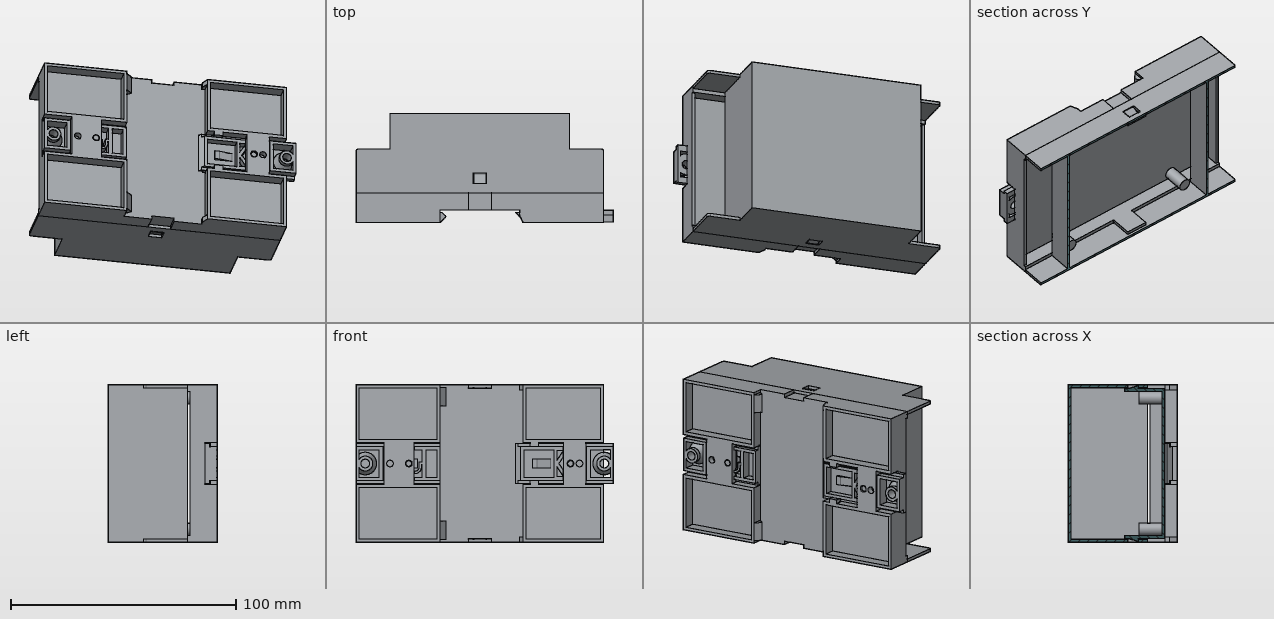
import cadquery as cq


length = 110.0
width = 70.0
front_y = 48.6
mid_x = length / 2
mid_z = width / 2
wall = 1.4

seam_y = 13.3
shoulder_y = 32.8
shoulder_length = 15.1
shoulder_radius = 1.1
window_length = 6.1
window_y = (17.4, 22.1)

side_wall = 3.1
end_wall_y = 12.2
rail_x = (37.4, 74.1)
rail_depth = 5.6
pocket_depth = rail_depth
pocket_width = 22.9
rim = 1.4
inner_floor_y = pocket_depth + wall
post_radius = 2.7
post_inset_x = 22.9
post_inset_z = 5.8
post_top_y = 17.1

tab_length = 10.2
tab_recess = 1.6
tab_top_y = 23.4
hook_clearance = 0.3

hook_width = 8.2
hook_inset_z = 1.1
hook_reach = 2.6
hook_tip_y = 2.7
hook_back_y = 4.6
hook_back_reach = 0.8
rib_width = 2.3
rib_reach = 1.5
rib_shoulder_y = 3.5

channel_width = 18.5
bridge_thickness = 3.2
left_bridge_x = (12.3, 25.8)
right_bridge_x = (92.0, 102.1)
pin_hole_radius = 1.5
left_hole_x = (15.1, 23.4)
right_hole_x = (95.2, 99.2)
lug_x = (77.3, 81.0)
detent_width = 3.9
detent_height = 1.1
left_detent_x = (24.9, 27.2)
right_detent_flat_x = (78.3, 80.4)
right_detent_end_x = 86.4

clip_face_y = 0.2
left_inner_face_y = 1.4
right_inner_face_y = 2.2
flange_y = 3.4
flange_width = 18.0
web_width = 15.1
clip_window_width = 12.2
clip_end_x = 114.3
clip_gap = 0.2
grip_window = (1.4, 10.3)
grip_end = 11.9
boss_offset = 4.1
boss_foot_radius = 5.0
boss_top_radius = 3.3
boss_collar_y = 2.3
boss_hole_radius = 2.0
pin_radius = 1.3
left_pin_y = 0
right_pin_y = 0.8

left_end_window_x = (31.1, 36.0)
left_spring_window_x = (24.8, 29.4)
spring_bend_x = 26.2
spring_bend_z = 33.4
spring_inner_radius = 1.8
spring_thickness = 1.0
spring_top_z = 35.5

right_big_window_x = (74.5, 87.8)
right_spring_window_x = (89.2, 94.9)
right_spring_width = 11.5
nose_tip_x = 70.9
nose_tip_y = 4.6
nose_foot_x = 73.0
chevron_slope = 1.5
chevron_root = 1.4
chevron_apex = 0.9


def box(x, y, z):
    """Box spanning the given (low, high) pairs."""
    size = [high - low for low, high in (x, y, z)]
    return cq.Workplane("XY").box(*size, centered=False).translate((x[0], y[0], z[0]))


def centred(middle, size):
    """The (low, high) pair of a span centred on a point."""
    return (middle - size / 2, middle + size / 2)


def prism(points, z):
    """Outline in X and Y, extruded over a (low, high) span of Z."""
    return cq.Workplane("XY").polyline(points).close().extrude(z[1] - z[0]).translate((0, 0, z[0]))


def round_bar(radius, x, z, y):
    """Round bar along Y over a (low, high) span."""
    return cq.Workplane("XZ").center(x, z).circle(radius).extrude(y[0] - y[1]).translate((0, y[0], 0))


def with_z_mirror(shape):
    """A shape together with its mirror image across the middle of the width."""
    return shape.union(shape.mirror("XY", (0, 0, mid_z)))


def make_cover():
    tower_x = (shoulder_length, length - shoulder_length)
    cover = box(tower_x, (seam_y, front_y), (0, width))
    plate = box((0, length), (seam_y, shoulder_y), (0, wall))
    plate = plate.edges("|Z and >Y").fillet(shoulder_radius)
    cover = cover.union(with_z_mirror(plate))
    cover = cover.cut(
        box(
            (tower_x[0] + wall, tower_x[1] - wall),
            (seam_y, front_y - wall),
            (wall, width - wall),
        )
    )
    return cover.cut(box(centred(mid_x, window_length), window_y, (0, width)))


def add_snap_tabs(base):
    tab_x = centred(mid_x, tab_length)
    base = base.cut(with_z_mirror(box(tab_x, (rail_depth, seam_y), (0, tab_recess))))
    tab = box(tab_x, (inner_floor_y, tab_top_y), (tab_recess, side_wall))
    hook_width_x = window_length - 2 * hook_clearance
    hook = (
        cq.Workplane("YZ")
        .polyline(
            [
                (window_y[0], side_wall),
                (window_y[0], hook_clearance),
                (window_y[1] - hook_clearance, tab_recess),
                (window_y[1] - hook_clearance, side_wall),
            ]
        )
        .close()
        .extrude(hook_width_x)
        .translate((mid_x - hook_width_x / 2, 0, 0))
    )
    return base.union(with_z_mirror(tab.union(hook)))


def add_rail_hooks(base):
    wall_x = rail_x[0]
    hook = prism(
        [
            (wall_x, 0),
            (wall_x + hook_reach, hook_tip_y),
            (wall_x + hook_back_reach, hook_back_y),
            (wall_x, hook_back_y),
        ],
        (hook_inset_z, hook_inset_z + hook_width),
    )
    wall_x = rail_x[1]
    rib = prism(
        [
            (wall_x, 0),
            (wall_x, rail_depth),
            (wall_x - rib_reach, rail_depth),
            (wall_x - rib_reach, rib_shoulder_y),
        ],
        (0, rib_width),
    )
    return base.union(with_z_mirror(hook)).union(with_z_mirror(rib))


def add_clip_seats(base):
    base = base.cut(box((0, length), (0, rail_depth), centred(mid_z, channel_width)))
    for bridge_x, hole_xs in ((left_bridge_x, left_hole_x), (right_bridge_x, right_hole_x)):
        base = base.union(box(bridge_x, (0, bridge_thickness), centred(mid_z, channel_width)))
        for hole_x in hole_xs:
            base = base.cut(round_bar(pin_hole_radius, hole_x, mid_z, (0, bridge_thickness)))
    lug_depth = (channel_width - web_width) / 2
    channel_low_z = mid_z - channel_width / 2
    lug = box(lug_x, (0, bridge_thickness), (channel_low_z, channel_low_z + lug_depth))
    base = base.union(with_z_mirror(lug))
    detent_y = rail_depth - detent_height
    detent_z = centred(mid_z, detent_width)
    left_detent = prism(
        [
            (left_detent_x[0], rail_depth),
            (left_detent_x[1], rail_depth),
            (left_detent_x[1], detent_y),
        ],
        detent_z,
    )
    right_detent = prism(
        [
            (right_detent_flat_x[0], rail_depth),
            (right_detent_flat_x[0], detent_y),
            (right_detent_flat_x[1], detent_y),
            (right_detent_end_x, rail_depth),
        ],
        detent_z,
    )
    return base.union(left_detent).union(right_detent)


def make_base():
    base = box((0, length), (0, seam_y), (0, width))
    base = base.cut(box(rail_x, (0, rail_depth), (0, width)))
    for block_x in ((0, rail_x[0]), (rail_x[1], length)):
        pocket = box(
            (block_x[0] + rim, block_x[1] - rim),
            (0, pocket_depth),
            (rim, rim + pocket_width),
        )
        base = base.cut(with_z_mirror(pocket))
    inside_z = (side_wall, width - side_wall)
    base = base.cut(box((wall, length - wall), (inner_floor_y, seam_y), inside_z))
    base = base.cut(box((0, length), (end_wall_y, seam_y), inside_z))
    for post_x in (post_inset_x, length - post_inset_x):
        post = round_bar(post_radius, post_x, post_inset_z, (inner_floor_y, post_top_y))
        base = base.union(with_z_mirror(post))
    base = add_snap_tabs(base)
    base = add_clip_seats(base)
    return add_rail_hooks(base)


def clip_blank(clip_x):
    """Flanged bar over a (low, high) span of X."""
    web = box(clip_x, (clip_face_y, rail_depth), centred(mid_z, web_width))
    return web.union(box(clip_x, (flange_y, rail_depth), centred(mid_z, flange_width)))


def clip_window(window_x, window_width=clip_window_width):
    return box(window_x, (clip_face_y, rail_depth), centred(mid_z, window_width))


def add_grip(clip, end_x, inward):
    """Open the window at the outer end and stand a cone-footed screw boss against its end wall."""
    clip = clip.cut(clip_window(sorted(end_x + inward * offset for offset in grip_window)))
    boss_x = end_x + inward * boss_offset
    boss = (
        cq.Workplane("XY")
        .polyline(
            [
                (0, clip_face_y),
                (boss_top_radius, clip_face_y),
                (boss_top_radius, boss_collar_y),
                (boss_foot_radius, rail_depth),
                (0, rail_depth),
            ]
        )
        .close()
        .revolve(360, (0, 0), (0, 1))
        .translate((boss_x, 0, mid_z))
    )
    boss_room = clip_window(sorted((end_x, end_x + inward * grip_window[1])))
    clip = clip.union(boss.intersect(boss_room))
    return clip.cut(round_bar(boss_hole_radius, boss_x, mid_z, (clip_face_y, rail_depth)))


def lower_web(clip, web_x, face_y):
    """Cut the web back to a deeper face over a (low, high) span of X."""
    return clip.cut(box(web_x, (0, face_y), centred(mid_z, channel_width)))


def left_spring():
    """Strip hanging from the window's inner end and bending a quarter turn under the bridge."""
    outer_radius = spring_inner_radius + spring_thickness
    spring_y = (clip_face_y, rail_depth)
    bend_z = spring_bend_z
    bend = round_bar(outer_radius, spring_bend_x, bend_z, spring_y).cut(
        round_bar(spring_inner_radius, spring_bend_x, bend_z, spring_y)
    )
    bend = bend.intersect(
        box((spring_bend_x, spring_bend_x + outer_radius), spring_y, (bend_z - outer_radius, bend_z))
    )
    inner_x = spring_bend_x + spring_inner_radius
    upright = box((inner_x, inner_x + spring_thickness), spring_y, (bend_z, spring_top_z))
    top = box((inner_x, left_spring_window_x[1]), spring_y, (spring_top_z - spring_thickness, spring_top_z))
    foot = box(
        (left_spring_window_x[0], spring_bend_x),
        spring_y,
        (bend_z - outer_radius, bend_z - spring_inner_radius),
    )
    return bend.union(upright).union(top).union(foot)


def make_left_clip():
    clip = clip_blank((0, rail_x[0]))
    clip = add_grip(clip, 0, 1)
    clip = clip.cut(clip_window(left_end_window_x))
    clip = clip.cut(clip_window(left_spring_window_x).cut(left_spring()))
    inner_x = left_bridge_x[1] + clip_gap
    clip = lower_web(clip, (grip_end, inner_x), flange_y)
    clip = lower_web(clip, (inner_x, rail_x[0]), left_inner_face_y)
    return clip.union(round_bar(pin_radius, left_hole_x[1], mid_z, (left_pin_y, rail_depth)))


def right_spring():
    """Chevron strip, pointing at the rail, joined to the window's inner end at its apex."""
    start_x, end_x = right_spring_window_x
    half_end = chevron_root + chevron_slope * (end_x - start_x)
    half_inner_end = chevron_slope * (end_x - start_x - chevron_apex)
    chevron = (
        cq.Workplane("XZ")
        .polyline(
            [
                (start_x, mid_z - chevron_root),
                (start_x, mid_z + chevron_root),
                (end_x, mid_z + half_end),
                (end_x, mid_z + half_inner_end),
                (start_x + chevron_apex, mid_z),
                (end_x, mid_z - half_inner_end),
                (end_x, mid_z - half_end),
            ]
        )
        .close()
        .extrude(clip_face_y - rail_depth)
        .translate((0, clip_face_y, 0))
    )
    return chevron.intersect(clip_window(right_spring_window_x, right_spring_width))


def make_right_clip():
    clip = clip_blank((nose_foot_x, clip_end_x))
    clip = add_grip(clip, clip_end_x, -1)
    nose_outline = [
        (nose_tip_x, nose_tip_y),
        (nose_foot_x, nose_tip_y),
        (nose_foot_x, right_inner_face_y),
    ]
    nose_x = (nose_tip_x, nose_foot_x)
    side_nose = prism(nose_outline, centred(mid_z, flange_width))
    side_nose = side_nose.cut(box(nose_x, (0, flange_y), (0, width)))
    clip = clip.union(prism(nose_outline, centred(mid_z, web_width))).union(side_nose)
    clip = clip.cut(clip_window(right_big_window_x))
    spring_window = clip_window(right_spring_window_x, right_spring_width)
    clip = clip.cut(spring_window.cut(right_spring()))
    inner_x = right_bridge_x[0] - clip_gap
    clip = lower_web(clip, (inner_x, clip_end_x - grip_end), flange_y)
    clip = lower_web(clip, (nose_foot_x, inner_x), right_inner_face_y)
    return clip.union(round_bar(pin_radius, right_hole_x[0], mid_z, (right_pin_y, rail_depth)))


cover = make_cover().solids().val()
base = make_base().solids().val()
left_clip = make_left_clip().solids().val()
right_clip = make_right_clip().solids().val()

result = cq.Compound.makeCompound([cover, base, left_clip, right_clip])